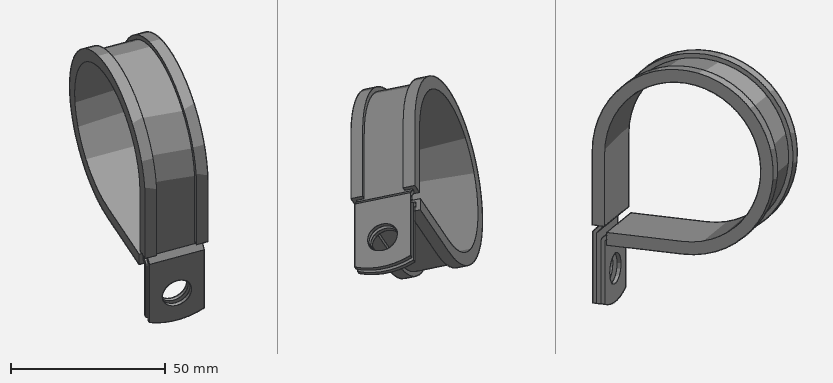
import cadquery as cq
import math


cushion_width = 22.1
outer_radius = 31.3
cushion_thickness = 4.35
lower_end_x = 26.25
side_end_z = -25.0
groove_width = 14.0
groove_depth = 1.5

strap_width = 19.3
strap_thickness = 1.4
strap_embed = 1.7
strap_outer_radius = outer_radius - groove_depth
strap_inner_radius = strap_outer_radius - strap_thickness

tab_bottom_z = outer_radius - 85.2
outer_tab_x = 31.6
tab_gap = 1.45
inner_tab_x = outer_tab_x - strap_thickness - tab_gap
bend_inner_radius = 1.2
bend_outer_radius = bend_inner_radius + strap_thickness
joggle_top_z = -25.65
joggle_drop = 2.0
joggle_inner_lag = 0.3
hole_diameter = 10.2
hole_z = -42.6
tip_sag = 2.05


def extrude_centered(profile, width):
    """Extrude an XZ profile symmetrically about the Y = 0 plane."""
    return profile.extrude(width / 2, both=True)


def loop_band(outer, inner, width):
    """Three-quarter loop with a straight lower leg and a straight side leg."""
    outer_mid = outer * math.sqrt(0.5)
    inner_mid = inner * math.sqrt(0.5)
    profile = (
        cq.Workplane("XZ")
        .moveTo(lower_end_x, -outer)
        .lineTo(0, -outer)
        .threePointArc((-outer_mid, outer_mid), (outer, 0))
        .lineTo(outer, side_end_z)
        .lineTo(inner, side_end_z)
        .lineTo(inner, 0)
        .threePointArc((-inner_mid, inner_mid), (0, -inner))
        .lineTo(lower_end_x, -inner)
        .close()
    )
    return extrude_centered(profile, width)


def inner_tab():
    """Tab bent down from the end of the lower leg."""
    bend_x = inner_tab_x - bend_outer_radius
    bend_z = -strap_inner_radius - bend_outer_radius
    outer_mid = bend_outer_radius * math.sqrt(0.5)
    inner_mid = bend_inner_radius * math.sqrt(0.5)
    profile = (
        cq.Workplane("XZ")
        .moveTo(lower_end_x - strap_embed, -strap_inner_radius)
        .lineTo(bend_x, -strap_inner_radius)
        .threePointArc((bend_x + outer_mid, bend_z + outer_mid), (inner_tab_x, bend_z))
        .lineTo(inner_tab_x, tab_bottom_z)
        .lineTo(inner_tab_x - strap_thickness, tab_bottom_z)
        .lineTo(inner_tab_x - strap_thickness, bend_z)
        .threePointArc((bend_x + inner_mid, bend_z + inner_mid), (bend_x, -strap_outer_radius))
        .lineTo(lower_end_x - strap_embed, -strap_outer_radius)
        .close()
    )
    return extrude_centered(profile, strap_width)


def outer_tab():
    """Tab stepped outward below the end of the side leg."""
    joggle_bottom_z = joggle_top_z - joggle_drop
    profile = (
        cq.Workplane("XZ")
        .moveTo(strap_outer_radius, side_end_z + strap_embed)
        .lineTo(strap_outer_radius, joggle_top_z)
        .lineTo(outer_tab_x, joggle_bottom_z)
        .lineTo(outer_tab_x, tab_bottom_z)
        .lineTo(outer_tab_x - strap_thickness, tab_bottom_z)
        .lineTo(outer_tab_x - strap_thickness, joggle_bottom_z - joggle_inner_lag)
        .lineTo(strap_inner_radius, joggle_top_z - joggle_inner_lag)
        .lineTo(strap_inner_radius, side_end_z + strap_embed)
        .close()
    )
    return extrude_centered(profile, strap_width)


def tab_envelope():
    """Tab outline with a curved tip and a bolt hole, running through along X."""
    half_width = strap_width / 2
    shoulder_z = tab_bottom_z + tip_sag
    outline = (
        cq.Workplane("YZ")
        .moveTo(-half_width, 0)
        .lineTo(-half_width, shoulder_z)
        .threePointArc((0, tab_bottom_z), (half_width, shoulder_z))
        .lineTo(half_width, 0)
        .close()
        .extrude(2 * outer_radius)
    )
    hole = cq.Workplane("YZ").center(0, hole_z).circle(hole_diameter / 2).extrude(2 * outer_radius)
    return outline.cut(hole)


cushion = loop_band(outer_radius, outer_radius - cushion_thickness, cushion_width)
groove = loop_band(outer_radius, strap_outer_radius, groove_width)
tabs = inner_tab().union(outer_tab()).intersect(tab_envelope())

result = cushion.cut(groove).union(tabs)